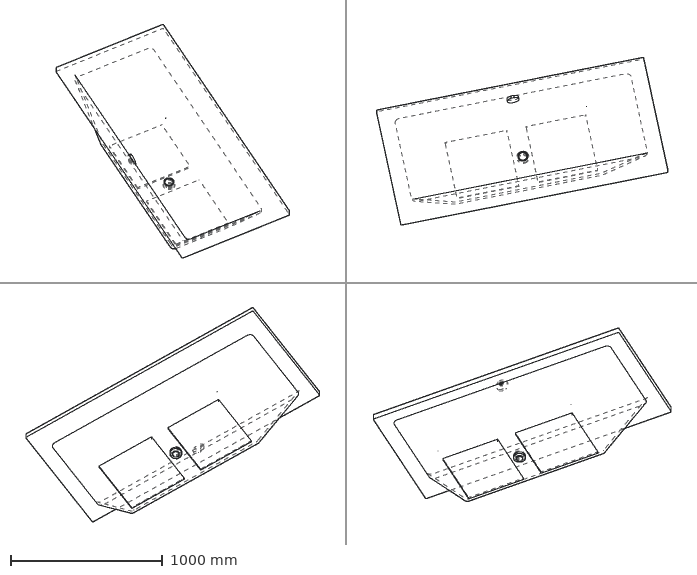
import cadquery as cq
import math

RIM_LENGTH = 1800.0
RIM_WIDTH = 800.0
RIM_HEIGHT = 49.0
RIM_ROUND = 7.5

BASIN_LENGTH = 1625.0
BASIN_WIDTH = 570.0
BASIN_Y = -32.0
BASIN_DEPTH = 446.0
END_SLOPE = 0.7
SIDE_SLOPE = 0.12
WALL = 13.0
INNER_ROUND = 27.0
OUTER_ROUND = 30.0
LIP_ROUND = 9.0
UNDERSIDE_Z = -(BASIN_DEPTH + WALL)

BOARD_LENGTH = 947.0
BOARD_WIDTH = 390.0
BOARD_Y = -29.0
BOARD_HEIGHT = 16.0
BOARD_ROUND = 5.0
BOARD_GAP = 130.0
BOARD_GAP_X = -7.0

OVERALL_HEIGHT = 486.0
DRAIN_X = -9.0
DRAIN_Y = -23.0
WASTE_BORE_DIA = 52.0
NUT_DIA = 80.0
NUT_HEIGHT = 16.0
TAIL_DIA = 43.0
PLUG_DIA = 67.0
PLUG_EDGE_HEIGHT = 4.0
PLUG_DOME_DIA = 60.0
PLUG_DOME_HEIGHT = 5.0

OVERFLOW_Z = -50.0
COVER_DIA = 80.0
COVER_EDGE_HEIGHT = 16.0
COVER_DOME_DIA = 74.0
COVER_DOME_HEIGHT = 4.0
STEM_DIA = 25.0
STEM_BORE_DIA = 15.0
STEM_BORE_DEPTH = 7.0


def tapered_block(length, width, depth, rounding):
    """Block narrowing downward from z = 0, with its sloping and bottom edges rounded."""
    block = (
        cq.Workplane("XY")
        .center(0, BASIN_Y)
        .rect(length, width)
        .workplane(offset=-depth)
        .rect(length - 2 * END_SLOPE * depth, width - 2 * SIDE_SLOPE * depth)
        .loft(ruled=True)
    )
    return block.edges("not >Z").fillet(rounding)


def make_rim():
    rim = cq.Workplane("XY").box(RIM_LENGTH, RIM_WIDTH, RIM_HEIGHT, centered=(True, True, False))
    rim = rim.translate((0, 0, -RIM_HEIGHT))
    return rim.edges("|Z or >Z").fillet(RIM_ROUND)


def make_boards():
    boards = (
        cq.Workplane("XY", origin=(0, BOARD_Y, UNDERSIDE_Z))
        .rect(BOARD_LENGTH, BOARD_WIDTH)
        .extrude(-BOARD_HEIGHT)
    )
    gap = (
        cq.Workplane("XY", origin=(BOARD_GAP_X, BOARD_Y, UNDERSIDE_Z))
        .rect(BOARD_GAP, BOARD_WIDTH)
        .extrude(-BOARD_HEIGHT)
    )
    return boards.cut(gap).faces("<Z").edges().fillet(BOARD_ROUND)


def overflow_plane():
    """Plane on the inner face of the front wall, its normal pointing into the basin."""
    wall_y = BASIN_Y - BASIN_WIDTH / 2 - SIDE_SLOPE * OVERFLOW_Z
    return cq.Plane(origin=(0, wall_y, OVERFLOW_Z), xDir=(1, 0, 0), normal=(0, 1, SIDE_SLOPE))


def make_tub():
    end_offset = WALL * math.hypot(1, END_SLOPE)
    side_offset = WALL * math.hypot(1, SIDE_SLOPE)
    shell = tapered_block(
        BASIN_LENGTH + 2 * end_offset,
        BASIN_WIDTH + 2 * side_offset,
        BASIN_DEPTH + WALL,
        OUTER_ROUND,
    )
    tub = make_rim().union(shell)
    tub = tub.cut(tapered_block(BASIN_LENGTH, BASIN_WIDTH, BASIN_DEPTH, INNER_ROUND))
    opening = cq.selectors.BoxSelector(
        (-BASIN_LENGTH / 2 - WALL, BASIN_Y - BASIN_WIDTH / 2 - WALL, -LIP_ROUND / 2),
        (BASIN_LENGTH / 2 + WALL, BASIN_Y + BASIN_WIDTH / 2 + WALL, LIP_ROUND / 2),
    )
    tub = tub.edges(opening).fillet(LIP_ROUND)
    tub = tub.union(make_boards())
    waste_hole = (
        cq.Workplane("XY", origin=(DRAIN_X, DRAIN_Y, UNDERSIDE_Z))
        .circle(WASTE_BORE_DIA / 2)
        .extrude(WALL)
    )
    stem_hole = cq.Workplane(overflow_plane()).circle(STEM_DIA / 2).extrude(-WALL)
    return tub.cut(waste_hole).cut(stem_hole)


def make_waste():
    """Neck through the floor, nut against the underside and tail below it."""
    neck = (
        cq.Workplane("XY", origin=(DRAIN_X, DRAIN_Y, UNDERSIDE_Z))
        .circle(WASTE_BORE_DIA / 2)
        .extrude(WALL)
    )
    nut = (
        cq.Workplane("XY", origin=(DRAIN_X, DRAIN_Y, UNDERSIDE_Z))
        .circle(NUT_DIA / 2)
        .extrude(-NUT_HEIGHT)
    )
    tail = (
        cq.Workplane("XY", origin=(DRAIN_X, DRAIN_Y, -OVERALL_HEIGHT))
        .circle(TAIL_DIA / 2)
        .extrude(OVERALL_HEIGHT + UNDERSIDE_Z)
    )
    return neck.union(nut).union(tail)


def domed_disc(seat, dia, edge_height, dome_dia, dome_height):
    """Disc on the given plane, its outer face carrying a shallow spherical dome."""
    disc = cq.Workplane(seat).circle(dia / 2).extrude(edge_height)
    dome_radius = dome_dia / 2
    sphere_radius = (dome_radius**2 + dome_height**2) / (2 * dome_height)
    sphere_depth = edge_height + dome_height - sphere_radius
    sphere = cq.Workplane(seat).workplane(offset=sphere_depth).sphere(sphere_radius)
    dome_zone = (
        cq.Workplane(seat)
        .workplane(offset=edge_height)
        .circle(dome_radius)
        .extrude(2 * dome_height)
    )
    return disc.union(sphere.intersect(dome_zone))


def make_plug():
    """Domed plug resting on the floor over the waste."""
    seat = cq.Plane(origin=(DRAIN_X, DRAIN_Y, -BASIN_DEPTH))
    return domed_disc(seat, PLUG_DIA, PLUG_EDGE_HEIGHT, PLUG_DOME_DIA, PLUG_DOME_HEIGHT)


def make_overflow():
    seat = overflow_plane()
    cover = domed_disc(seat, COVER_DIA, COVER_EDGE_HEIGHT, COVER_DOME_DIA, COVER_DOME_HEIGHT)
    stem = cq.Workplane(seat).circle(STEM_DIA / 2).extrude(-WALL)
    bore = (
        cq.Workplane(seat)
        .workplane(offset=-WALL)
        .circle(STEM_BORE_DIA / 2)
        .extrude(STEM_BORE_DEPTH)
    )
    return cover.union(stem).cut(bore)


tub = make_tub()
waste = make_waste()
plug = make_plug()
overflow = make_overflow()

result = cq.Compound.makeCompound([tub.val(), waste.val(), plug.val(), overflow.val()])